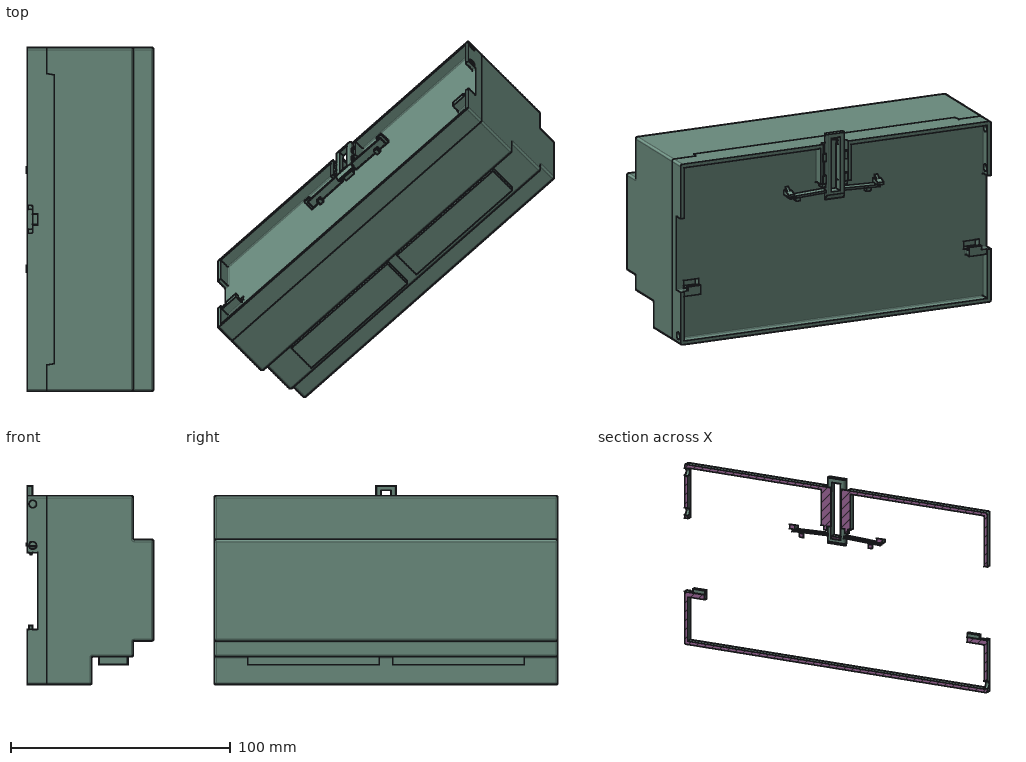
import cadquery as cq


LENGTH = 156.6
HEIGHT = 86.1
FRONT_X = 57.57
SHOULDER_X = 48.3
FOOT_X = 29.4
PANEL_TOP_Z = 66.2
PANEL_BOTTOM_Z = 19.85
SHOULDER_BOTTOM_Z = 12.7
EDGE_FILLET = 1.0
INNER_CORNER_FILLET = 0.4

PARTING_X = 9.0
TONGUE_X = 12.2
TONGUE_HALF_ROOT = 66.3
TONGUE_HALF_TIP = 65.8
TONGUE_DEPTH = 2.0

FLOOR_X = 4.75
RIM = 1.8
FLOOR_FILLET = 0.4
SLOT_BOTTOM_Z = 25.2
SLOT_TOP_Z = 60.2
SIDE_HOLE_DIAMETER = 3.4
SIDE_HOLE_X = 2.5
SIDE_HOLE_INSET = 3.8
SLOT_HOLE_Z = SLOT_TOP_Z + 3.2

HOOK_END = 10.5
HOOK_BOTTOM_Z = 22.7
LIP_START = 4.3
LIP_BACK_X = 0.8
LIP_FRONT_X = 2.5
LIP_TOP_Z = 27.0
RELIEF_START = 3.8
RELIEF_END = 11.5
RELIEF_TOP_Z = 29.0
RELIEF_DEPTH = 4.0

CHANNEL_HALF = 6.3
CHANNEL_WALL = 1.4
CHANNEL_BOTTOM_Z = 67.3
GROOVE_HALF = 2.6
TRACK_FILLET = 0.6
TAB_BACK_X = 0.4
GUIDE_TAB_SPANS = ((67.1, 70.9), (77.7, 81.3))
TAB_FOOT_BACK_X = 1.2
TAB_FOOT_BOTTOM_Z = 65.3

LATCH_TOP_Z = 90.53
LATCH_HALF = 4.6
LATCH_THICKNESS = 2.5
LATCH_FILLET = 0.6
WINDOW_HALF = 2.2
COLLAR_HALF = GROOVE_HALF
WINDOW_BOTTOM_Z = 63.0
WINDOW_TOP_Z = 88.5
NOSE_Z = 59.2
NOSE_START_Z = 61.6
NOSE_BACK_X = 1.4
NOSE_FRONT_X = 2.0
ARM_ROOT = LATCH_HALF - LATCH_FILLET
ARM_REACH = 22.7
ARM_ROOT_TOP_Z = 63.8
ARM_ROOT_BOTTOM_Z = 62.8
ARM_TIP_TOP_Z = 63.1
ARM_TIP_BOTTOM_Z = 62.1
ARM_BACK_X = 0.5
ARM_FRONT_X = FLOOR_X - FLOOR_FILLET

STOP_START = 21.0
STOP_END = 24.0
STOP_BACK_X = -0.4
STOP_BOTTOM_Z = 63.25
STOP_CREST_Z = 64.4
STOP_TOP_Z = 65.4
STOP_RIB_HALF = 0.75
STOP_RIB_TOP_Z = 66.9
PEG_START = 16.7
PEG_END = 19.0
PEG_CHAMFER = 0.5
PEG_BOTTOM_Z = 60.0
PEG_TOP_Z = 62.0

CONNECTOR_X = 32.6
CONNECTOR_BOTTOM_Z = 9.1
CONNECTOR_LENGTH = 60.0
CONNECTOR_OFFSET_Y = 33.0
NARROW_CONNECTOR_WIDTH = 12.9
WIDE_CONNECTOR_WIDTH = 13.3

SIDES = (-1, 1)


def box(x, y, z):
    """Axis-aligned block between pairs of limits."""
    x0, x1 = sorted(x)
    y0, y1 = sorted(y)
    z0, z1 = sorted(z)
    return cq.Workplane("XY").box(x1 - x0, y1 - y0, z1 - z0, centered=False).translate((x0, y0, z0))


def side_profile(points, y_start, y_end):
    """Prism along Y from an outline of (x, z) points."""
    prism = cq.Workplane("XZ").polyline(points).close().extrude(-abs(y_end - y_start))
    return prism.translate((0, min(y_start, y_end), 0))


def rear_profile(points, x_start, x_end):
    """Prism along X from an outline of (y, z) points."""
    return cq.Workplane("YZ").polyline(points).close().extrude(x_end - x_start).translate((x_start, 0, 0))


def housing_envelope():
    """Stepped outer shape shared by the base and the cover."""
    outline = [
        (0, 0), (FOOT_X, 0), (FOOT_X, SHOULDER_BOTTOM_Z), (SHOULDER_X, SHOULDER_BOTTOM_Z),
        (SHOULDER_X, PANEL_BOTTOM_Z), (FRONT_X, PANEL_BOTTOM_Z), (FRONT_X, PANEL_TOP_Z),
        (SHOULDER_X, PANEL_TOP_Z), (SHOULDER_X, HEIGHT), (0, HEIGHT),
    ]
    body = side_profile(outline, -LENGTH / 2, LENGTH / 2)
    inner_corners = (
        (FOOT_X, SHOULDER_BOTTOM_Z), (SHOULDER_X, PANEL_BOTTOM_Z), (SHOULDER_X, PANEL_TOP_Z),
    )
    for x, z in inner_corners:
        body = body.edges(cq.selectors.NearestToPointSelector((x, 0, z))).fillet(INNER_CORNER_FILLET)
    outer_corners = (
        (FOOT_X, 0), (SHOULDER_X, SHOULDER_BOTTOM_Z), (FRONT_X, PANEL_BOTTOM_Z),
        (FRONT_X, PANEL_TOP_Z), (SHOULDER_X, HEIGHT),
    )
    for x, z in outer_corners:
        body = body.edges(cq.selectors.NearestToPointSelector((x, 0, z))).fillet(EDGE_FILLET)
    return body.faces("<Y or >Y").edges("not(<X)").fillet(EDGE_FILLET)


def base_region():
    """Space behind the parting, with the tongue along the top."""
    slab = box((-1, PARTING_X), (-LENGTH, LENGTH), (-1, HEIGHT + 1))
    tongue = (
        cq.Workplane("XY")
        .polyline([
            (PARTING_X, -TONGUE_HALF_ROOT), (TONGUE_X, -TONGUE_HALF_TIP),
            (TONGUE_X, TONGUE_HALF_TIP), (PARTING_X, TONGUE_HALF_ROOT),
        ])
        .close()
        .extrude(TONGUE_DEPTH + 1)
        .translate((0, 0, HEIGHT - TONGUE_DEPTH))
    )
    return slab.union(tongue)


def rear_recess():
    """Hollow of the rim joined with the rail slot, leaving the hook blocks and channel walls standing."""
    half = LENGTH / 2
    pocket = box((-1, FLOOR_X), (-half + RIM, half - RIM), (RIM, HEIGHT - RIM))
    for side in SIDES:
        hook_y = (side * half, side * (half - HOOK_END))
        hook_block = box((-1, FLOOR_X), hook_y, (HOOK_BOTTOM_Z, SLOT_BOTTOM_Z))
        pocket = pocket.cut(hook_block)
    guide = box(
        (-1, FLOOR_X), (-CHANNEL_HALF - CHANNEL_WALL, CHANNEL_HALF + CHANNEL_WALL), (CHANNEL_BOTTOM_Z, HEIGHT)
    )
    slot = box((-1, FLOOR_X), (-half - 1, half + 1), (SLOT_BOTTOM_Z, SLOT_TOP_Z))
    return pocket.cut(guide).union(slot).faces(">X").edges().fillet(FLOOR_FILLET)


def side_hole(side, z):
    """Round hole through one end wall of the rim."""
    hole = cq.Workplane("XZ").center(SIDE_HOLE_X, z).circle(SIDE_HOLE_DIAMETER / 2)
    return hole.extrude(RIM + 1, both=True).translate((0, side * LENGTH / 2, 0))


def hook_lip(side):
    """Lip that stands up into the slot and grips the rail."""
    wall = LENGTH / 2
    return box(
        (LIP_BACK_X, LIP_FRONT_X), (side * (wall - LIP_START), side * (wall - HOOK_END)),
        (HOOK_BOTTOM_Z, LIP_TOP_Z),
    )


def hook_setback(side):
    """Lowers the hook block below the rim to the level of its lip."""
    wall = LENGTH / 2
    y = (side * (wall - RIM), side * (wall - HOOK_END))
    return box((-1, LIP_BACK_X), y, (HOOK_BOTTOM_Z, SLOT_BOTTOM_Z))


def hook_relief(side):
    """Recess in the floor behind the hook lip."""
    wall = LENGTH / 2
    return box(
        (FLOOR_X, FLOOR_X + RELIEF_DEPTH), (side * (wall - RELIEF_START), side * (wall - RELIEF_END)),
        (SLOT_BOTTOM_Z, RELIEF_TOP_Z),
    )


def latch_channel():
    """Open track for the latch bar, with a deeper groove along its middle."""
    z = (CHANNEL_BOTTOM_Z - 1, HEIGHT + 1)
    track = box((-1, LATCH_THICKNESS), (-CHANNEL_HALF, CHANNEL_HALF), z)
    groove = box((-1, FLOOR_X), (-GROOVE_HALF, GROOVE_HALF), z)
    return track.edges("|Z and >X").fillet(TRACK_FILLET).union(groove)


def guide_tab(side, back_x, z_span):
    """Block that fills the gap between the channel wall and the latch."""
    return box((back_x, FLOOR_X), (side * LATCH_HALF, side * CHANNEL_HALF), z_span)


def spring_stop(side):
    """Ribbed wedge on the floor that bears on top of a spring arm's end."""
    wedge = side_profile(
        [
            (STOP_BACK_X, STOP_BOTTOM_Z), (STOP_BACK_X, STOP_CREST_Z),
            (LATCH_THICKNESS, STOP_TOP_Z), (FLOOR_X, STOP_TOP_Z), (FLOOR_X, STOP_BOTTOM_Z),
        ],
        side * STOP_START, side * STOP_END,
    )
    middle = side * (STOP_START + STOP_END) / 2
    rib = side_profile(
        [(LATCH_THICKNESS, STOP_TOP_Z), (FLOOR_X, STOP_RIB_TOP_Z), (FLOOR_X, STOP_TOP_Z)],
        middle - STOP_RIB_HALF, middle + STOP_RIB_HALF,
    )
    return wedge.union(rib)


def spring_peg(side):
    """Peg on the floor just below a spring arm."""
    outline = [
        (side * PEG_START, PEG_BOTTOM_Z), (side * (PEG_END - PEG_CHAMFER), PEG_BOTTOM_Z),
        (side * PEG_END, PEG_BOTTOM_Z + PEG_CHAMFER), (side * PEG_END, PEG_TOP_Z),
        (side * PEG_START, PEG_TOP_Z),
    ]
    return rear_profile(outline, LATCH_THICKNESS, FLOOR_X)


def build_base(envelope):
    """Rear part of the housing, which carries the rail slot, the hooks and the latch channel."""
    base = envelope.intersect(base_region()).cut(rear_recess()).cut(latch_channel())
    for side in SIDES:
        base = base.cut(hook_setback(side)).union(hook_lip(side)).cut(hook_relief(side))
        base = base.union(spring_stop(side)).union(spring_peg(side))
        for z_span in GUIDE_TAB_SPANS:
            base = base.union(guide_tab(side, TAB_BACK_X, z_span))
        base = base.union(guide_tab(side, TAB_FOOT_BACK_X, (TAB_FOOT_BOTTOM_Z, GUIDE_TAB_SPANS[0][0])))
    for side, z in ((-1, HEIGHT - SIDE_HOLE_INSET), (-1, SLOT_HOLE_Z), (1, SIDE_HOLE_INSET)):
        base = base.cut(side_hole(side, z))
    return base


def build_cover(envelope):
    """Front part of the housing."""
    return envelope.cut(base_region())


def build_latch():
    """Slotted bar with a rail nose, a collar that runs in the groove, and two spring arms."""
    bar = side_profile(
        [
            (0, NOSE_START_Z), (NOSE_BACK_X, NOSE_Z), (NOSE_FRONT_X, NOSE_Z),
            (LATCH_THICKNESS, SLOT_TOP_Z), (LATCH_THICKNESS, LATCH_TOP_Z), (0, LATCH_TOP_Z),
        ],
        -LATCH_HALF, LATCH_HALF,
    )
    bar = bar.edges("|Z").fillet(LATCH_FILLET)
    window = box((-1, FLOOR_X), (-WINDOW_HALF, WINDOW_HALF), (WINDOW_BOTTOM_Z, WINDOW_TOP_Z))
    collar = box(
        (LATCH_THICKNESS, FLOOR_X), (-COLLAR_HALF, COLLAR_HALF), (NOSE_START_Z, HEIGHT - RIM)
    )
    latch = bar.union(collar).cut(window)
    for side in SIDES:
        arm = rear_profile(
            [
                (side * ARM_ROOT, ARM_ROOT_BOTTOM_Z), (side * ARM_REACH, ARM_TIP_BOTTOM_Z),
                (side * ARM_REACH, ARM_TIP_TOP_Z), (side * ARM_ROOT, ARM_ROOT_TOP_Z),
            ],
            ARM_BACK_X, ARM_FRONT_X,
        )
        latch = latch.union(arm)
    return latch


def build_connector(center_y, width):
    """Terminal block hanging from the underside of the shoulder."""
    return box(
        (CONNECTOR_X, CONNECTOR_X + width),
        (center_y - CONNECTOR_LENGTH / 2, center_y + CONNECTOR_LENGTH / 2),
        (CONNECTOR_BOTTOM_Z, SHOULDER_BOTTOM_Z),
    )


envelope = housing_envelope()
base = build_base(envelope)
cover = build_cover(envelope)
latch = build_latch()
connectors = [
    build_connector(side * CONNECTOR_OFFSET_Y, width)
    for side, width in zip(SIDES, (NARROW_CONNECTOR_WIDTH, WIDE_CONNECTOR_WIDTH))
]

bodies = [base, cover, latch, *connectors]
result = cq.Compound.makeCompound([body.val() for body in bodies])